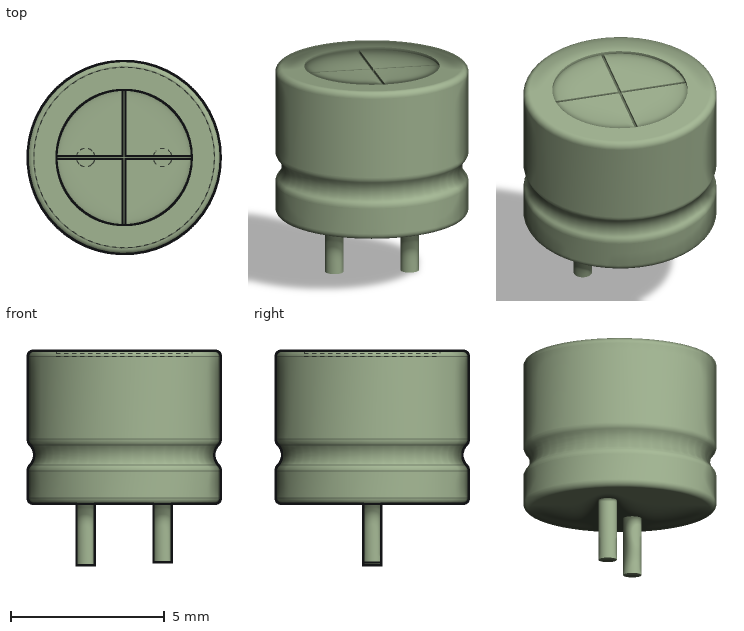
import cadquery as cq
import math

total_height = 7.0
body_diameter = 6.3
body_radius = body_diameter / 2
body_bottom = 2.0
edge_radius = 0.2

groove_height = 3.6
groove_depth = 0.21
groove_radius = 0.475
groove_lip_radius = 0.27

recess_diameter = 4.41
recess_depth = 0.1
slot_width = 0.1
slot_depth = 0.1

pin_diameter = 0.6
pin_offset = 1.25
short_pin_bottom = 0.1
pin_bottoms = {-pin_offset: 0.0, pin_offset: short_pin_bottom}


def make_can():
    """Revolve the can with its waist groove, whose arcs blend smoothly into the wall."""
    groove_center_r = body_radius - groove_depth + groove_radius
    lip_center_r = body_radius - groove_lip_radius
    center_distance = groove_radius + groove_lip_radius
    blend_angle = math.acos((groove_center_r - lip_center_r) / center_distance)
    lip_offset = center_distance * math.sin(blend_angle)
    blend_r = lip_center_r + groove_lip_radius * math.cos(blend_angle)
    blend_offset = groove_radius * math.sin(blend_angle)
    lip_mid_r = lip_center_r + groove_lip_radius * math.cos(blend_angle / 2)
    lip_mid_offset = lip_offset - groove_lip_radius * math.sin(blend_angle / 2)

    profile = (
        cq.Workplane("XZ")
        .moveTo(0, body_bottom)
        .lineTo(body_radius, body_bottom)
        .lineTo(body_radius, groove_height - lip_offset)
        .threePointArc((lip_mid_r, groove_height - lip_mid_offset), (blend_r, groove_height - blend_offset))
        .threePointArc((body_radius - groove_depth, groove_height), (blend_r, groove_height + blend_offset))
        .threePointArc((lip_mid_r, groove_height + lip_mid_offset), (body_radius, groove_height + lip_offset))
        .lineTo(body_radius, total_height)
        .lineTo(0, total_height)
        .close()
    )
    can = profile.revolve(360, (0, 0, 0), (0, 1, 0))
    return can.faces("<Z or >Z").edges().fillet(edge_radius)


def make_top_recess():
    """Cutter for the shallow recess and the crossed slots below its floor."""
    floor = total_height - recess_depth
    recess = cq.Workplane("XY").workplane(offset=floor).circle(recess_diameter / 2).extrude(recess_depth)
    for length, width in ((recess_diameter, slot_width), (slot_width, recess_diameter)):
        slot = cq.Workplane("XY").workplane(offset=floor).rect(length, width).extrude(-slot_depth)
        recess = recess.union(slot)
    return recess


def make_pin(x, bottom):
    return (
        cq.Workplane("XY")
        .workplane(offset=bottom)
        .center(x, 0)
        .circle(pin_diameter / 2)
        .extrude(body_bottom + edge_radius - bottom)
    )


result = make_can().cut(make_top_recess())
for pin_x, pin_bottom in pin_bottoms.items():
    result = result.union(make_pin(pin_x, pin_bottom))